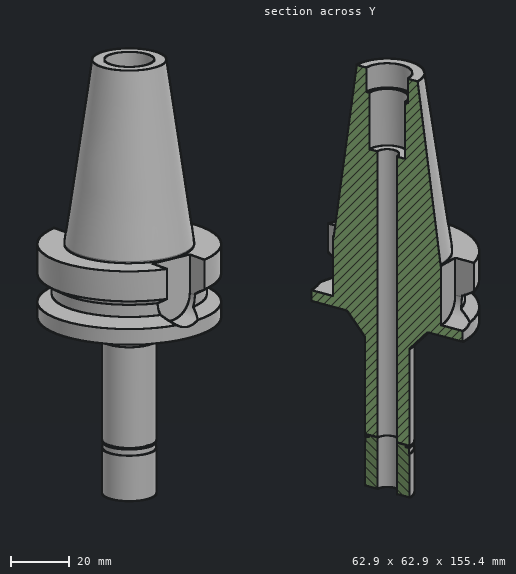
import cadquery as cq

TOTAL_HEIGHT = 155.4
GAUGE_Z = 90.0
FLANGE_TOP_Z = 89.4
FLANGE_BOTTOM_Z = 63.1
NECK_CONE_BOTTOM_Z = 55.2

TAPER_TOP_RADIUS = 12.7
TAPER_BASE_RADIUS = 22.2

FLANGE_RADIUS = 31.47
GROOVE_RADIUS = 26.5
GROOVE_TOP_Z = 78.6
GROOVE_BOTTOM_Z = 68.7
GROOVE_SIDE_HEIGHT = 2.8

SLOT_WIDTH = 16.5
SLOT_FLOOR_X = 22.5
SLOT_BOTTOM_Z = 67.3

NECK_CONE_RADIUS = 16.8
NECK_RADIUS = 9.3

BORE_RADIUS = 8.5
BORE_DEPTH = 9.0
THREAD_RADIUS = 7.3
THREAD_DEPTH = 30.0
THROUGH_RADIUS = 4.0

NUT_SHOULDER_Z = 18.5
JOINT_GAP = 0.6
SPIGOT_RADIUS = 7.8
NUT_COLLAR_HEIGHT = 2.2
NUT_COLLAR_STEP = 0.2
NECK_BOTTOM_Z = NUT_SHOULDER_Z + JOINT_GAP


def holder_blank():
    """Revolve the taper, grooved flange and neck about Z."""
    profile = [
        (0, NECK_BOTTOM_Z),
        (NECK_RADIUS, NECK_BOTTOM_Z),
        (NECK_RADIUS, NECK_CONE_BOTTOM_Z),
        (NECK_CONE_RADIUS, FLANGE_BOTTOM_Z),
        (FLANGE_RADIUS, FLANGE_BOTTOM_Z),
        (FLANGE_RADIUS, GROOVE_BOTTOM_Z),
        (GROOVE_RADIUS, GROOVE_BOTTOM_Z + GROOVE_SIDE_HEIGHT),
        (GROOVE_RADIUS, GROOVE_TOP_Z - GROOVE_SIDE_HEIGHT),
        (FLANGE_RADIUS, GROOVE_TOP_Z),
        (FLANGE_RADIUS, FLANGE_TOP_Z),
        (TAPER_BASE_RADIUS, FLANGE_TOP_Z),
        (TAPER_BASE_RADIUS, GAUGE_Z),
        (TAPER_TOP_RADIUS, TOTAL_HEIGHT),
        (0, TOTAL_HEIGHT),
    ]
    return cq.Workplane("XZ").polyline(profile).close().revolve(360, (0, 0), (0, 1))


def drive_slot(side):
    """Round-bottomed slot cutter on the -X (side = -1) or +X (side = 1) side."""
    half_width = SLOT_WIDTH / 2
    arc_center_z = SLOT_BOTTOM_Z + half_width
    return (
        cq.Workplane("YZ", origin=(side * SLOT_FLOOR_X, 0, 0))
        .moveTo(-half_width, FLANGE_TOP_Z)
        .lineTo(-half_width, arc_center_z)
        .threePointArc((0, SLOT_BOTTOM_Z), (half_width, arc_center_z))
        .lineTo(half_width, FLANGE_TOP_Z)
        .close()
        .extrude(side * (FLANGE_RADIUS - SLOT_FLOOR_X + 1.5))
    )


def hole_from_top(radius, depth):
    """Vertical hole cutter that starts at the top of the taper."""
    return cq.Workplane("XY", origin=(0, 0, TOTAL_HEIGHT)).circle(radius).extrude(-depth)


def make_holder():
    """Tool holder with drive slots and a stepped through bore."""
    body = holder_blank()
    for side in (-1, 1):
        body = body.cut(drive_slot(side))
    body = body.cut(hole_from_top(BORE_RADIUS, BORE_DEPTH))
    body = body.cut(hole_from_top(THREAD_RADIUS, THREAD_DEPTH))
    return body.cut(hole_from_top(THROUGH_RADIUS, TOTAL_HEIGHT))


def make_nut():
    """Clamping nut with a slightly reduced collar and a short spigot that holds its shoulder off the neck."""
    profile = [
        (THROUGH_RADIUS, 0),
        (NECK_RADIUS, 0),
        (NECK_RADIUS, NUT_SHOULDER_Z - NUT_COLLAR_HEIGHT),
        (NECK_RADIUS - NUT_COLLAR_STEP, NUT_SHOULDER_Z - NUT_COLLAR_HEIGHT),
        (NECK_RADIUS - NUT_COLLAR_STEP, NUT_SHOULDER_Z),
        (SPIGOT_RADIUS, NUT_SHOULDER_Z),
        (SPIGOT_RADIUS, NECK_BOTTOM_Z),
        (THROUGH_RADIUS, NECK_BOTTOM_Z),
    ]
    return cq.Workplane("XZ").polyline(profile).close().revolve(360, (0, 0), (0, 1))


holder = make_holder()
nut = make_nut()

result = cq.Compound.makeCompound([holder.val(), nut.val()])